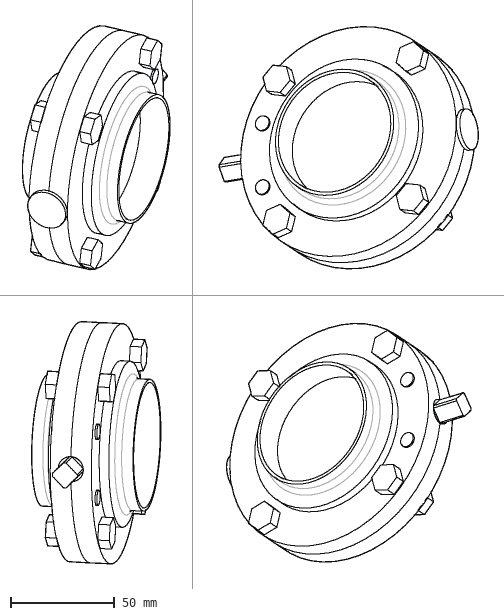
import cadquery as cq
import math


HALF_LENGTH = 25.0
FLANGE_RADIUS = 58.0
FLANGE_HALF_WIDTH = 10.1
HUB_RADIUS = 40.1
HUB_SHOULDER_X = 14.9
HUB_CONE_ANGLE = math.radians(15)
PIPE_RADIUS = 31.8
BORE_RADIUS = 30.2
ROOT_RADIUS = 3.0

BOLT_COUNT = 4
BOLT_CIRCLE_RADIUS = 50.8
HEX_ACROSS_FLATS = 13.2
HEX_HEIGHT = 5.7

DOWEL_RADIUS = 3.7
DOWEL_Y = 45.9
DOWEL_Z = 16.3
DOWEL_HEIGHT = 0.9

DISC_HALF_THICKNESS = 10.0
STEM_RADIUS = 6.2
STEM_END_Y = 71.5
SQUARE_SIDE = 9.6
CAP_RADIUS = 10.0
CAP_HEIGHT = 2.0


def revolved_shell():
    """Flange, coned hub and pipe end of the half on the +X side."""
    sin_cone = math.sin(HUB_CONE_ANGLE)
    cos_cone = math.cos(HUB_CONE_ANGLE)
    root_start_r = PIPE_RADIUS + ROOT_RADIUS * (1 - sin_cone)
    root_start_x = HUB_SHOULDER_X + (HUB_RADIUS - root_start_r) * math.tan(HUB_CONE_ANGLE)
    root_center_x = root_start_x + ROOT_RADIUS * cos_cone
    root_center_r = PIPE_RADIUS + ROOT_RADIUS
    mid_angle = (HUB_CONE_ANGLE + math.pi / 2) / 2
    root_mid = (
        root_center_x - ROOT_RADIUS * math.cos(mid_angle),
        root_center_r - ROOT_RADIUS * math.sin(mid_angle),
    )
    return (
        cq.Workplane("XZ")
        .moveTo(0, BORE_RADIUS)
        .lineTo(0, FLANGE_RADIUS)
        .lineTo(FLANGE_HALF_WIDTH, FLANGE_RADIUS)
        .lineTo(FLANGE_HALF_WIDTH, HUB_RADIUS)
        .lineTo(HUB_SHOULDER_X, HUB_RADIUS)
        .lineTo(root_start_x, root_start_r)
        .threePointArc(root_mid, (root_center_x, PIPE_RADIUS))
        .lineTo(HALF_LENGTH, PIPE_RADIUS)
        .lineTo(HALF_LENGTH, BORE_RADIUS)
        .close()
        .revolve(360, (0, 0, 0), (1, 0, 0))
    )


def bolt_heads():
    """Hexagons on the flange face, each with a flat facing radially outward."""
    hex_diameter = HEX_ACROSS_FLATS / math.cos(math.pi / 6)
    first_head = (
        cq.Workplane("YZ", origin=(FLANGE_HALF_WIDTH, 0, 0))
        .center(0, BOLT_CIRCLE_RADIUS)
        .polygon(6, hex_diameter)
        .extrude(HEX_HEIGHT)
    )
    heads = []
    for index in range(BOLT_COUNT):
        angle = (index + 0.5) * 360 / BOLT_COUNT
        heads.append(first_head.rotate((0, 0, 0), (1, 0, 0), angle))
    return heads


def dowel_ends():
    """Low round dowel ends on the flange face, either side of the stem."""
    return (
        cq.Workplane("YZ", origin=(FLANGE_HALF_WIDTH, 0, 0))
        .pushPoints([(DOWEL_Y, DOWEL_Z), (DOWEL_Y, -DOWEL_Z)])
        .circle(DOWEL_RADIUS)
        .extrude(DOWEL_HEIGHT)
    )


def stem_cylinder(radius, start_y, end_y):
    """Cylinder on the Y axis between two Y positions."""
    return cq.Workplane("XZ", origin=(0, start_y, 0)).circle(radius).extrude(start_y - end_y)


def housing_half():
    """The +X housing half, grooved at the joint for its side of the stem."""
    half = revolved_shell()
    for head in bolt_heads():
        half = half.union(head)
    half = half.union(dowel_ends())
    return half.cut(stem_cylinder(STEM_RADIUS, -FLANGE_RADIUS, FLANGE_RADIUS))


def disc_with_stem():
    """Disc filling the bore, with its stem, square drive end and end cap."""
    disc = (
        cq.Workplane("YZ", origin=(-DISC_HALF_THICKNESS, 0, 0))
        .circle(BORE_RADIUS)
        .extrude(2 * DISC_HALF_THICKNESS)
    )
    shaft = stem_cylinder(STEM_RADIUS, -FLANGE_RADIUS, FLANGE_RADIUS)
    cap = stem_cylinder(CAP_RADIUS, -FLANGE_RADIUS - CAP_HEIGHT, -FLANGE_RADIUS)
    square = (
        cq.Workplane("XZ", origin=(0, FLANGE_RADIUS, 0))
        .transformed(rotate=(0, 0, 45))
        .rect(SQUARE_SIDE, SQUARE_SIDE)
        .extrude(FLANGE_RADIUS - STEM_END_Y)
    )
    drive_end = square.intersect(stem_cylinder(STEM_RADIUS, FLANGE_RADIUS, STEM_END_Y))
    return disc.union(shaft).union(cap).union(drive_end)


right_half = housing_half()
left_half = right_half.mirror("YZ")
disc_and_stem = disc_with_stem()

result = cq.Compound.makeCompound([left_half.val(), right_half.val(), disc_and_stem.val()])